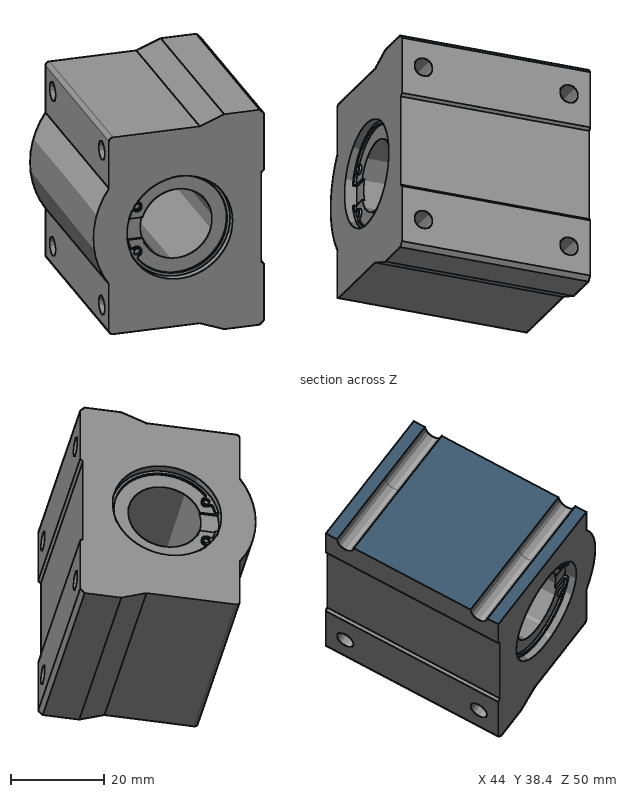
import cadquery as cq
import math

length = 44.0
half_height = 25.0
back_y = 19.0
front_y = -15.95
barrel_radius = 19.45
upper_half_height = 22.9
taper_start_y = 10.0
taper_end_y = 4.5
back_chamfer = 1.0
front_fillet = 0.9

relief_depth = 0.6
relief_half_width = 11.0
relief_floor_half_width = 10.4

mount_diameter = 4.15
mount_pitch_x = 34.0
mount_pitch_z = 36.0

bore_diameter = 16.0
seat_diameter = 23.8
ring_depth = 1.75
bearing_depth = 2.3
slot_depth = 2.8
gap_width = 4.9

ring_inner_radius = 11.25
ring_thickness = bearing_depth - ring_depth
eyelet_hole_diameter = 1.45
eyelet_radius = 1.05
eyelet_center_radius = 10.4
eyelet_angle = 30.0
neck_fillet = 0.5

end_x = length / 2
seat_radius = seat_diameter / 2


def make_housing():
    barrel_half_width = math.sqrt(barrel_radius**2 - front_y**2)
    body = (
        cq.Workplane("YZ")
        .moveTo(front_y, barrel_half_width)
        .lineTo(front_y, upper_half_height)
        .lineTo(taper_end_y, upper_half_height)
        .lineTo(taper_start_y, half_height)
        .lineTo(back_y - back_chamfer, half_height)
        .lineTo(back_y, half_height - back_chamfer)
        .lineTo(back_y, relief_half_width)
        .lineTo(back_y - relief_depth, relief_floor_half_width)
        .lineTo(back_y - relief_depth, -relief_floor_half_width)
        .lineTo(back_y, -relief_half_width)
        .lineTo(back_y, -half_height + back_chamfer)
        .lineTo(back_y - back_chamfer, -half_height)
        .lineTo(taper_start_y, -half_height)
        .lineTo(taper_end_y, -upper_half_height)
        .lineTo(front_y, -upper_half_height)
        .lineTo(front_y, -barrel_half_width)
        .threePointArc((-barrel_radius, 0), (front_y, barrel_half_width))
        .close()
        .extrude(end_x, both=True)
    )
    for z in (-upper_half_height, upper_half_height):
        corner = cq.selectors.NearestToPointSelector((0, front_y, z))
        body = body.edges(corner).fillet(front_fillet)
    return body


def make_mounting_holes():
    return (
        cq.Workplane("XZ")
        .rect(mount_pitch_x, mount_pitch_z, forConstruction=True)
        .vertices()
        .circle(mount_diameter / 2)
        .extrude(2 * back_y, both=True)
    )


def make_end_recess():
    """Round seat at the -X end, with a deeper slot in the bearing at the ring gap."""
    seat = cq.Workplane("YZ", origin=(-end_x, 0, 0)).circle(seat_radius).extrude(bearing_depth)
    slot = cq.Workplane("YZ", origin=(-end_x, 0, 0)).circle(seat_radius).extrude(slot_depth)
    slot_strip = cq.Workplane("XY").box(length, seat_radius, gap_width)
    slot = slot.intersect(slot_strip.translate((0, -seat_radius / 2, 0)))
    return seat.union(slot)


def make_retaining_ring():
    """Ring at the -X end, open toward -Y, with an eyelet on each side of the gap."""
    plane = cq.Workplane("YZ", origin=(-end_x + ring_depth, 0, 0))
    ring = plane.circle(seat_radius).circle(ring_inner_radius).extrude(ring_thickness)
    neck_length = (ring_inner_radius + seat_radius) / 2 - eyelet_center_radius
    neck_center = -eyelet_center_radius - neck_length / 2
    for angle in (-eyelet_angle, eyelet_angle):
        eyelet = plane.center(-eyelet_center_radius, 0).circle(eyelet_radius).extrude(ring_thickness)
        neck = plane.center(neck_center, 0).rect(neck_length, 2 * eyelet_radius).extrude(ring_thickness)
        ring = ring.union(eyelet.union(neck).rotate((0, 0, 0), (1, 0, 0), angle))

    neck_root = math.degrees(math.asin(eyelet_radius / ring_inner_radius))
    for side in (-1, 1):
        for root_angle in (eyelet_angle - neck_root, eyelet_angle + neck_root):
            y = -ring_inner_radius * math.cos(math.radians(root_angle))
            z = side * ring_inner_radius * math.sin(math.radians(root_angle))
            root = cq.selectors.NearestToPointSelector((-end_x + ring_depth + ring_thickness / 2, y, z))
            ring = ring.edges("|X").edges(root).fillet(neck_fillet)

    for angle in (-eyelet_angle, eyelet_angle):
        hole = plane.center(-eyelet_center_radius, 0).circle(eyelet_hole_diameter / 2).extrude(ring_thickness)
        ring = ring.cut(hole.rotate((0, 0, 0), (1, 0, 0), angle))
    gap = cq.Workplane("XY").box(2 * length, seat_diameter, gap_width)
    return ring.cut(gap.translate((0, -seat_radius, 0)))


bore = cq.Workplane("YZ").circle(bore_diameter / 2).extrude(end_x, both=True)
result = make_housing().cut(make_mounting_holes()).cut(bore)

end_recess = make_end_recess()
retaining_ring = make_retaining_ring()
result = result.cut(end_recess).cut(end_recess.mirror("YZ"))
result = result.union(retaining_ring).union(retaining_ring.mirror("YZ"))